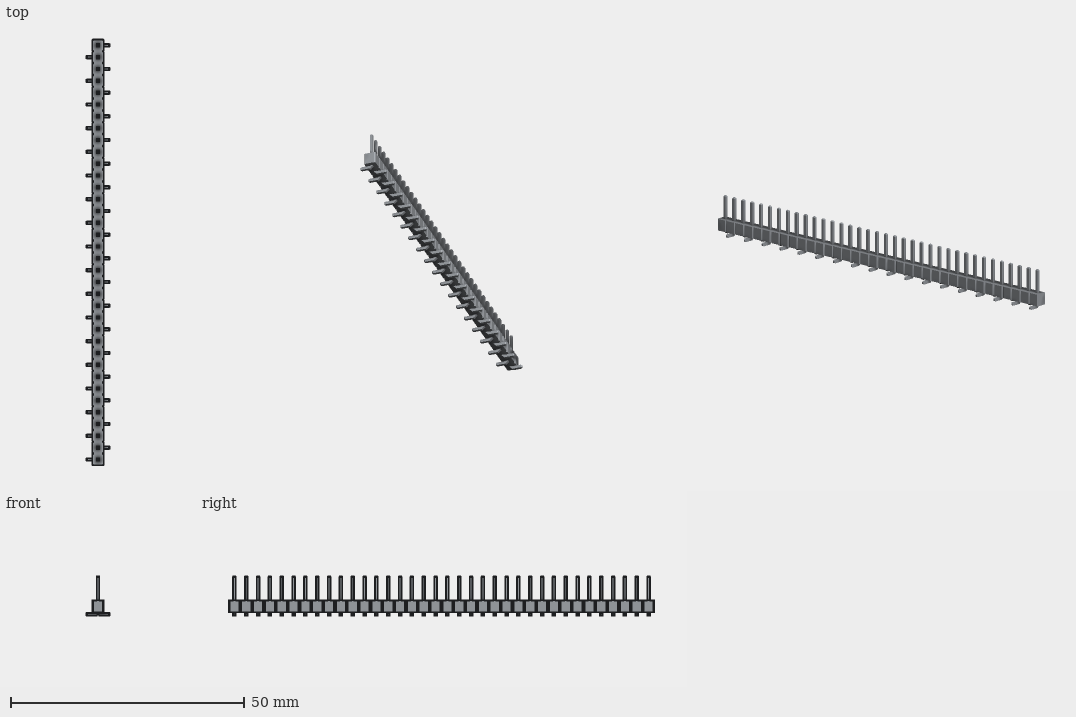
import cadquery as cq

length = 91.4
pin_count = 36
pitch = length / pin_count
housing_width = 2.6
housing_height = 2.6
housing_bottom = 0.7
housing_bevel = 0.25

pin_size = 0.6
total_height = 8.5
foot_span = 5.0
bend_bevel = pin_size
tip_length = 0.2
tip_size = 0.4


def pin_y(index):
    """Y centre of a cell and its pin, counted from the -Y end."""
    return (index + 0.5) * pitch - length / 2


def make_housing():
    """Strip of bevelled cells that touch end to end, leaving V notches between them."""
    side = housing_width / 2
    right_side = []
    for index in range(pin_count):
        cell_start = pin_y(index) - pitch / 2
        cell_end = cell_start + pitch
        right_side += [
            (side - housing_bevel, cell_start),
            (side, cell_start + housing_bevel),
            (side, cell_end - housing_bevel),
        ]
    right_side.append((side - housing_bevel, length / 2))
    left_side = [(-x, y) for x, y in reversed(right_side)]
    return (
        cq.Workplane("XY")
        .workplane(offset=housing_bottom)
        .polyline(right_side + left_side)
        .close()
        .extrude(housing_height)
    )


def make_tip():
    """Tapered pin end, standing on the XY plane and pointing up."""
    return (
        cq.Workplane("XY")
        .rect(pin_size, pin_size)
        .workplane(offset=tip_length)
        .rect(tip_size, tip_size)
        .loft()
    )


def make_pin():
    """Upright pin with a bevelled bend into a foot that points to +X."""
    half = pin_size / 2
    foot_end = foot_span / 2 - tip_length
    shaft_top = total_height - tip_length
    shaft = (
        cq.Workplane("XZ")
        .moveTo(-half, shaft_top)
        .lineTo(-half, bend_bevel)
        .lineTo(bend_bevel - half, 0)
        .lineTo(foot_end, 0)
        .lineTo(foot_end, pin_size)
        .lineTo(half, pin_size)
        .lineTo(half, shaft_top)
        .close()
        .extrude(half, both=True)
    )
    top_tip = make_tip().translate((0, 0, shaft_top))
    foot_tip = make_tip().rotate((0, 0, 0), (0, 1, 0), 90).translate((foot_end, 0, half))
    return shaft.union(top_tip).union(foot_tip).clean()


def make_pin_row():
    """All pins, the -Y end one pointing to -X and the rest alternating."""
    pin_to_plus_x = make_pin()
    pin_to_minus_x = pin_to_plus_x.mirror("YZ")
    pins = cq.Workplane("XY")
    for index in range(pin_count):
        pin = pin_to_plus_x if index % 2 else pin_to_minus_x
        pins = pins.add(pin.translate((0, pin_y(index), 0)))
    return pins.combine()


result = make_housing().union(make_pin_row())